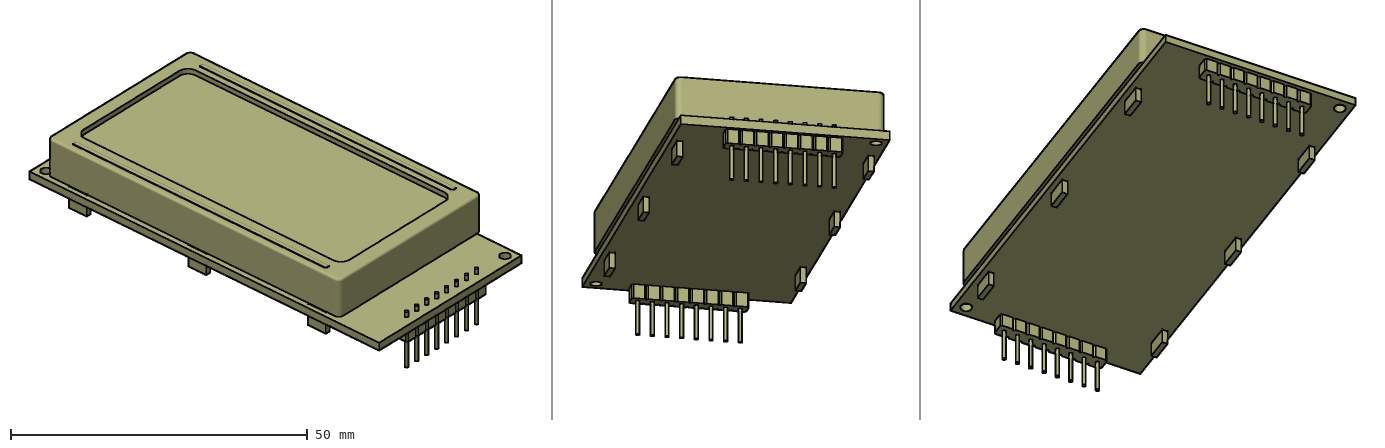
import cadquery as cq
board_length = 79.0
board_width = 36.0
board_thickness = 1.6
mounting_hole_diameter = 2.0
mounting_hole_inset = 2.0

pins_per_row = 8
pin_pitch = 2.5
pin_diameter = 0.65
pin_inset = 2.0
pin_rise = 1.0
pin_drop = 8.5
header_height = 2.5
header_corner_chamfer = 0.3

frame_left_margin = 4.0
frame_right_margin = 9.0
frame_gap = 1.0
frame_height = 7.6
frame_corner_radius = 1.0
frame_edge_radius = 0.5

window_length = 60.05
window_width = 28.05
window_depth = 1.0
window_corner_radius = 2.0

groove_length = 57.5
groove_width = 1.3
groove_inset = 2.0
groove_edge_radius = 0.15
groove_depth = 0.31
groove_corner_radius = 0.15

leg_length = 4.0
leg_thickness = 1.0
leg_edge_inset = 1.0
leg_pitch = 27.0
leg_drop = 2.8

frame_length = board_length - frame_left_margin - frame_right_margin
frame_center_x = (frame_left_margin - frame_right_margin) / 2
frame_bottom = board_thickness + frame_gap
frame_top = frame_bottom + frame_height
pin_row_x = board_length / 2 - pin_inset
pin_positions = [(i - (pins_per_row - 1) / 2) * pin_pitch for i in range(pins_per_row)]
groove_y = board_width / 2 - groove_inset
leg_y = board_width / 2 - leg_edge_inset - leg_thickness / 2


def block(length, width, bottom, top, x=0.0, y=0.0):
    """Upright rectangular block centred on (x, y)."""
    return cq.Workplane("XY", origin=(x, y, bottom)).rect(length, width).extrude(top - bottom)


def make_legs():
    """Six legs in two rows, reaching from the frame to below the board."""
    legs = cq.Workplane("XY")
    for side in (-1, 1):
        for step in (-1, 0, 1):
            x = frame_center_x + step * leg_pitch
            legs = legs.add(block(leg_length, leg_thickness, -leg_drop, frame_bottom, x, side * leg_y))
    return legs.combine()


def make_groove(side):
    """Cutter for one groove, with its floor rounded into its walls."""
    groove = block(
        groove_length - 2 * groove_edge_radius,
        groove_width - 2 * groove_edge_radius,
        frame_top - groove_depth,
        frame_top,
        frame_center_x,
        side * groove_y,
    )
    groove = groove.edges("|Z").fillet(groove_corner_radius)
    return groove.faces("<Z").edges().fillet(groove_edge_radius)


def groove_rim(side):
    """Selector for the edges where one groove meets the top of the frame."""
    margin = groove_edge_radius / 2
    reach_x = groove_length / 2
    reach_y = groove_width / 2
    y = side * groove_y
    low = (frame_center_x - reach_x, y - reach_y, frame_top - margin)
    high = (frame_center_x + reach_x, y + reach_y, frame_top + margin)
    return cq.selectors.BoxSelector(low, high)


def make_frame():
    frame = block(frame_length, board_width, frame_bottom, frame_top, frame_center_x)
    frame = frame.edges("|Z").fillet(frame_corner_radius)
    frame = frame.faces(">Z").edges().fillet(frame_edge_radius)
    window = block(window_length, window_width, frame_top - window_depth, frame_top, frame_center_x)
    frame = frame.cut(window.edges("|Z").fillet(window_corner_radius))
    for side in (-1, 1):
        frame = frame.cut(make_groove(side))
        frame = frame.edges(groove_rim(side)).fillet(groove_edge_radius)
    return frame.union(make_legs())


def make_header_row(x):
    """One row of pins, each through its own chamfered header block under the board."""
    row = cq.Workplane("XY")
    for y in pin_positions:
        cell = block(pin_pitch, pin_pitch, -header_height, 0, x, y)
        row = row.add(cell.edges("|Z").chamfer(header_corner_chamfer))
        pin = cq.Workplane("XY", origin=(x, y, -pin_drop)).circle(pin_diameter / 2)
        row = row.add(pin.extrude(pin_drop + board_thickness + pin_rise))
    return row.combine()


def make_board():
    hole_x = board_length / 2 - mounting_hole_inset
    hole_y = board_width / 2 - mounting_hole_inset
    board = block(board_length, board_width, 0, board_thickness)
    board = board.cut(
        cq.Workplane("XY")
        .pushPoints([(-hole_x, -hole_y), (hole_x, hole_y)])
        .circle(mounting_hole_diameter / 2)
        .extrude(board_thickness)
    )
    board = board.cut(make_legs())
    for x in (-pin_row_x, pin_row_x):
        board = board.union(make_header_row(x))
    return board


board = make_board()
frame = make_frame()

result = cq.Compound.makeCompound([board.val(), frame.val()])